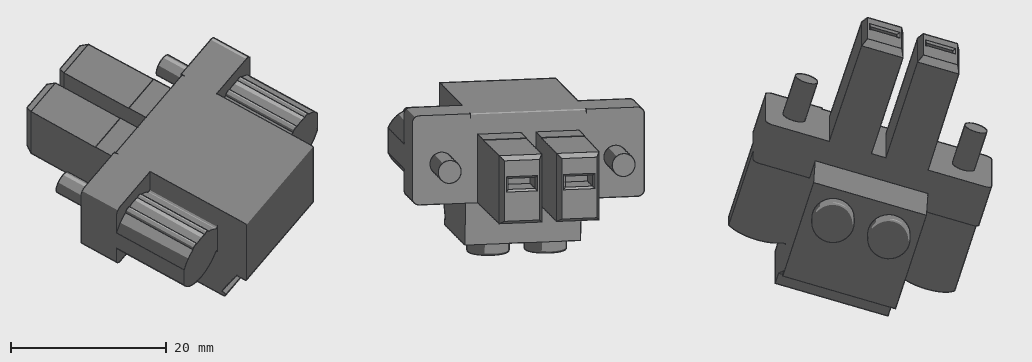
import cadquery as cq
import math


overall_length = 35.3

flange_width = 30.43
flange_thickness = 5.55
flange_top = 6.4
flange_bottom = -5.33
flange_corner_radius = 0.92
front_edge_radius = 0.53

housing_width = 15.18
housing_length = 20.58
housing_corner_radius = 0.32
housing_rear_bottom = -5.75
housing_bottom = -11.6
skirt_front_top = 3.07
skirt_front_bottom = 3.78
skirt_rear_top = 19.03
lip_radius = 0.4
lip_center_x = 16.9

pin_spacing = 22.8
pin_diameter = 3.0
pin_length = 5.47
knob_flat_height = 3.25
wall_offset = (pin_spacing - housing_width) / 2
knob_flat_offset = (flange_width - pin_spacing) / 2
knob_radius = math.hypot(knob_flat_offset, knob_flat_height / 2)
knob_length = 10.52
knob_rear = flange_thickness + knob_length
bead_radius = 0.55
bead_ring_radius = 3.8
bead_tilt_degrees = 19
root_fillet_radius = 0.32

contact_spacing = 7.52
plug_width = 5.58
plug_length = overall_length - housing_length
plug_top = 3.6
plug_draft = 0.1
plug_tip_length = 1.0
plug_tip_inset = 0.5
tip_shoulder_x = plug_tip_length - plug_length
root_length = 3.65
root_rise = 0.07

slot_mouth_width = 4.1
slot_mouth_height = 2.0
slot_inset = 0.3
slot_depth = 3.53

screw_diameter = 5.47
screw_height = 1.8
screw_x = 7.73
screw_edge_radius = 0.3

sides = (-1, 1)


def box(x_range, y_range, z_range):
    """Box spanning the given ranges."""
    lengths = [high - low for low, high in (x_range, y_range, z_range)]
    corner = (x_range[0], y_range[0], z_range[0])
    return cq.Workplane("XY").box(*lengths, centered=False).translate(corner)


def make_flange():
    """Plate with its four corners rounded."""
    half_width = flange_width / 2
    flange = box((0, flange_thickness), (-half_width, half_width), (flange_bottom, flange_top))
    return flange.edges("|X").fillet(flange_corner_radius)


def make_housing():
    """Side profile of the block and its tapered skirt, extruded across the width."""
    lip_top = housing_bottom + 2 * lip_radius
    r = housing_corner_radius
    return (
        cq.Workplane("XZ")
        .moveTo(0, flange_top)
        .lineTo(housing_length - r, flange_top)
        .radiusArc((housing_length, flange_top - r), r)
        .lineTo(housing_length, housing_rear_bottom + r)
        .radiusArc((housing_length - r, housing_rear_bottom), r)
        .lineTo(skirt_rear_top, housing_rear_bottom)
        .lineTo(lip_center_x - lip_radius / 2, lip_top)
        .lineTo(lip_center_x, lip_top)
        .radiusArc((lip_center_x, housing_bottom), lip_radius)
        .lineTo(skirt_front_bottom, housing_bottom)
        .lineTo(skirt_front_top, flange_bottom)
        .lineTo(0, flange_bottom)
        .close()
        .extrude(housing_width / 2, both=True)
    )


def make_front_edge_cutter():
    """Waste removed to round the top front edge along the housing width."""
    r = front_edge_radius
    return (
        cq.Workplane("XZ")
        .moveTo(0, flange_top - r)
        .radiusArc((r, flange_top), r)
        .lineTo(0, flange_top)
        .close()
        .extrude(housing_width / 2, both=True)
    )


def make_pin(side):
    """Round pin standing out of the flange front."""
    pin = cq.Workplane("YZ").circle(pin_diameter / 2).extrude(-pin_length)
    return pin.translate((0, side * pin_spacing / 2, 0))


def make_root_fillets():
    """Concave fillets, above and below, joining a knob at Y = 0 to the housing wall on its +Y side."""
    center_y = wall_offset - root_fillet_radius
    center_z = math.sqrt((knob_radius + root_fillet_radius) ** 2 - center_y**2)
    tangent_y = center_y * knob_radius / (knob_radius + root_fillet_radius)
    web = box((flange_thickness, knob_rear), (tangent_y, wall_offset), (-center_z, center_z))
    hollows = (
        cq.Workplane("YZ")
        .pushPoints([(center_y, center_z), (center_y, -center_z)])
        .circle(root_fillet_radius)
        .extrude(knob_rear)
    )
    return web.cut(hollows)


def make_knob(side):
    """Cylinder with two beads on top, cut flat at the flange end and filleted to the housing."""
    bead_angle = math.radians(bead_tilt_degrees)
    bead_y = bead_ring_radius * math.sin(bead_angle)
    bead_z = bead_ring_radius * math.cos(bead_angle)
    knob = cq.Workplane("YZ").circle(knob_radius).extrude(knob_rear)
    beads = (
        cq.Workplane("YZ")
        .pushPoints([(-bead_y, bead_z), (bead_y, bead_z)])
        .circle(bead_radius)
        .extrude(knob_rear)
    )
    y_range = (-knob_flat_offset, wall_offset)
    limits = box((flange_thickness, knob_rear), y_range, (flange_bottom, flange_top))
    knob = knob.union(beads).union(make_root_fillets()).intersect(limits)
    knob = knob.translate((0, -pin_spacing / 2, 0))
    return knob if side < 0 else knob.mirror("XZ")


def make_plug_block(side, front_x, top):
    """Block from front_x to the flange, its outer side drafted from the tip shoulder on."""
    half_width = plug_width / 2
    front_growth = plug_draft * (front_x - tip_shoulder_x) / -tip_shoulder_x
    outline = [
        (front_x, -side * half_width),
        (0, -side * half_width),
        (0, side * (half_width + plug_draft)),
        (front_x, side * (half_width + front_growth)),
    ]
    base = cq.Workplane("XY", origin=(0, 0, flange_bottom))
    return base.polyline(outline).close().extrude(top - flange_bottom)


def make_plug_tip():
    """Bevelled tip narrowing on all four sides."""
    plug_height = plug_top - flange_bottom
    shoulder = cq.Workplane("YZ", origin=(tip_shoulder_x, 0, flange_bottom + plug_height / 2))
    return (
        shoulder.rect(plug_width, plug_height)
        .workplane(offset=-plug_tip_length)
        .rect(plug_width - 2 * plug_tip_inset, plug_height - 2 * plug_tip_inset)
        .loft(ruled=True)
    )


def make_plug(side):
    """Plug with a bevelled tip, a slightly raised root and a contact slot."""
    plug = make_plug_block(side, tip_shoulder_x, plug_top).union(make_plug_tip())
    plug = plug.union(make_plug_block(side, -root_length, plug_top + root_rise))
    slot_width = slot_mouth_width - 2 * slot_inset
    slot_height = slot_mouth_height - 2 * slot_inset
    tip = cq.Workplane("YZ", origin=(-plug_length, 0, 0))
    slot = tip.rect(slot_width, slot_height).extrude(slot_depth)
    lead_in = (
        tip.rect(slot_mouth_width, slot_mouth_height)
        .workplane(offset=slot_inset)
        .rect(slot_width, slot_height)
        .loft(ruled=True)
    )
    return plug.cut(slot).cut(lead_in).translate((0, side * contact_spacing / 2, 0))


def make_screw(side):
    """Round screw head under the housing, in line with a plug."""
    screw = (
        cq.Workplane("XY", origin=(screw_x, side * contact_spacing / 2, housing_bottom))
        .circle(screw_diameter / 2)
        .extrude(-screw_height)
    )
    return screw.faces("<Z").edges().fillet(screw_edge_radius)


result = make_flange().union(make_housing()).cut(make_front_edge_cutter())
for side in sides:
    for make_feature in (make_pin, make_knob, make_plug, make_screw):
        result = result.union(make_feature(side))